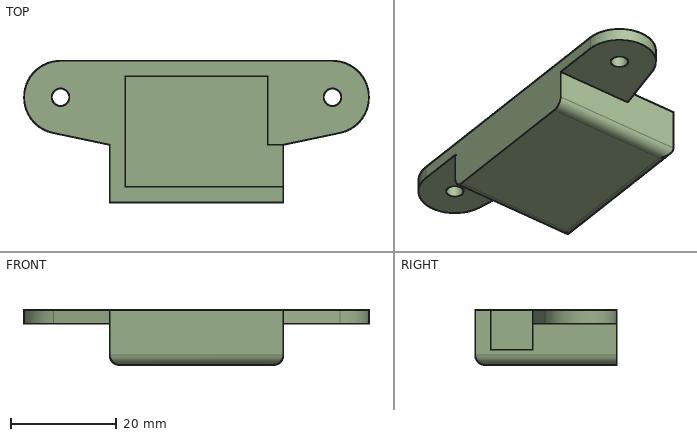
import cadquery as cq
import math

length = 65.6
depth = 27.0
height = 10.5

flange_thickness = 2.6
ear_radius = 6.95
hole_diameter = 3.3
taper_end_y = -16.0

box_width = 33.1
wall = 2.95
floor_thickness = 2.95
bottom_fillet = 2.0

half_box = box_width / 2
ear_x = length / 2 - ear_radius
ear_y = -ear_radius


def make_flange():
    """Plate whose tapers are tangent to the round ears."""
    run = ear_x - half_box
    drop = ear_y - taper_end_y
    tangent_angle = math.atan2(-drop, -run) + math.acos(ear_radius / math.hypot(run, drop))
    tangent_x = ear_x + ear_radius * math.cos(tangent_angle)
    tangent_y = ear_y + ear_radius * math.sin(tangent_angle)
    outer_x = length / 2
    return (
        cq.Workplane("XY", origin=(0, 0, height - flange_thickness))
        .moveTo(-ear_x, 0)
        .lineTo(ear_x, 0)
        .threePointArc((outer_x, ear_y), (tangent_x, tangent_y))
        .lineTo(half_box, taper_end_y)
        .lineTo(-half_box, taper_end_y)
        .lineTo(-tangent_x, tangent_y)
        .threePointArc((-outer_x, ear_y), (-ear_x, 0))
        .close()
        .extrude(flange_thickness)
    )


def make_box():
    """Solid box with its bottom edges rounded except along the back."""
    box = cq.Workplane("XY").box(box_width, depth, height, centered=(True, False, False))
    box = box.translate((0, -depth, 0))
    return box.faces("<Z").edges("|Y or <Y").fillet(bottom_fillet)


def make_pocket():
    """Open-topped pocket that breaks out through the front of the +X wall."""
    inner_x = half_box - wall
    return (
        cq.Workplane("XY", origin=(0, 0, floor_thickness))
        .moveTo(-inner_x, -wall)
        .lineTo(inner_x, -wall)
        .lineTo(inner_x, taper_end_y)
        .lineTo(half_box, taper_end_y)
        .lineTo(half_box, wall - depth)
        .lineTo(-inner_x, wall - depth)
        .close()
        .extrude(height - floor_thickness)
    )


def make_holes():
    """Screw holes concentric with the ears."""
    return (
        cq.Workplane("XY", origin=(0, 0, height - flange_thickness))
        .pushPoints([(-ear_x, ear_y), (ear_x, ear_y)])
        .circle(hole_diameter / 2)
        .extrude(flange_thickness)
    )


result = make_box().union(make_flange()).cut(make_pocket()).cut(make_holes())